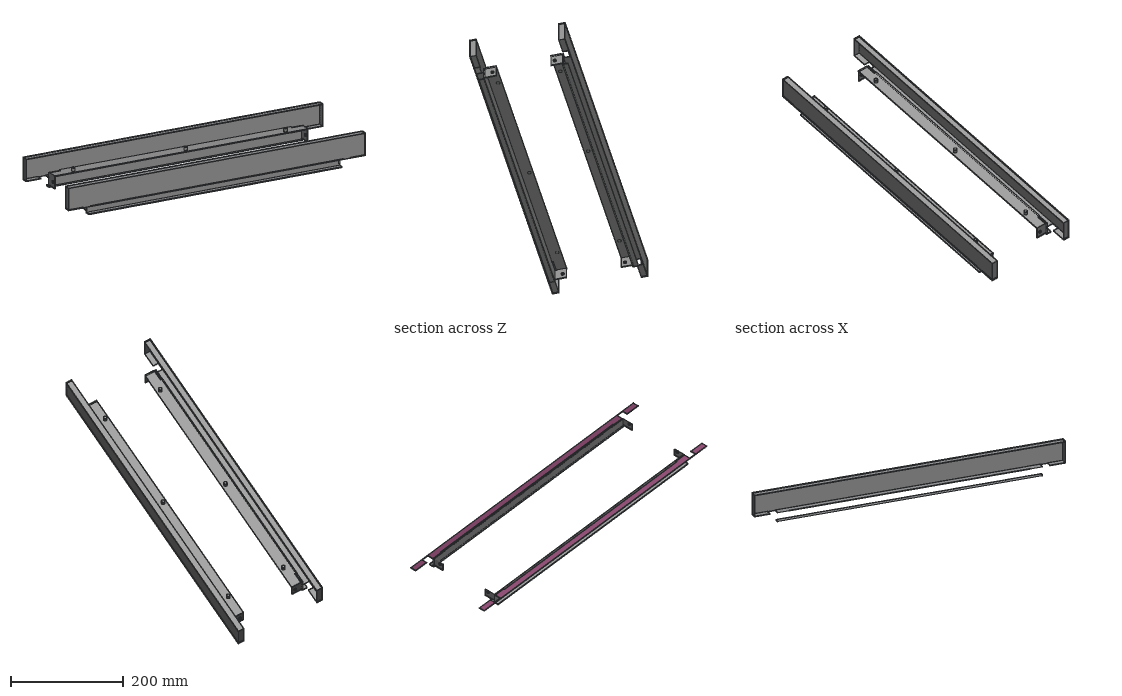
import cadquery as cq

overall_width = 175.0
overall_length = 595.0
overall_height = 60.0
x_outer = -overall_width / 2
z_top = overall_height / 2
z_bottom = -overall_height / 2
half_length = overall_length / 2

tray_sheet = 1.35
tray_depth = 12.0
tray_height = 43.0
tray_x_open = x_outer + tray_depth
tray_z_bottom = z_top - tray_height

rail_sheet = 1.9
rail_length = 507.5
rail_offset = 14.0
rail_width = 23.0
rail_z_top = -0.5
lip_reach = 8.5
rail_half = rail_length / 2
rail_x_outer = x_outer + rail_offset
rail_x_inner = rail_x_outer + rail_width

end_plate_setback = 0.3
end_plate_z_bottom = -25.5
end_hole_diameter = 5.5
end_hole_z = -15.0

recess_width = 4.0
recess_length = 22.0
recess_depth = 1.5

tab_inner_y = 230.0
tab_setback = 0.5
tab_outer_y = rail_half - tab_setback
relief_outer_y = 268.0

pin_diameter = 6.5
pin_height = 6.5
pin_chamfer = 0.7
pin_x = -57.0
pin_end_y = 212.5
pin_middle_y = 12.5


def block(x_range, y_range, z_range):
    """A box given by its lower and upper limit along each axis."""
    x_low, y_low, z_low = x_range[0], y_range[0], z_range[0]
    size_x = x_range[1] - x_low
    size_y = y_range[1] - y_low
    size_z = z_range[1] - z_low
    return cq.Workplane("XY").box(size_x, size_y, size_z, centered=False).translate((x_low, y_low, z_low))


def both_ends(y_near, y_far):
    """The same stretch of length at the -Y end and at the +Y end."""
    return [(-y_far, -y_near), (y_near, y_far)]


def make_tray():
    tray = block((x_outer, tray_x_open), (-half_length, half_length), (tray_z_bottom, z_top))
    inside_y = half_length - tray_sheet
    floor_z = (tray_z_bottom, tray_z_bottom + tray_sheet)
    inside = block(
        (x_outer + tray_sheet, tray_x_open),
        (-inside_y, inside_y),
        (floor_z[1], z_top - tray_sheet),
    )
    tray = tray.cut(inside)
    for y_range in both_ends(tab_inner_y, tab_outer_y):
        tray = tray.union(block((x_outer, rail_x_outer), y_range, floor_z))
    for y_range in both_ends(tab_outer_y, relief_outer_y):
        tray = tray.cut(block((x_outer + tray_sheet, tray_x_open), y_range, floor_z))
    return tray


def make_rail():
    full_y = (-rail_half, rail_half)
    web_x = (rail_x_outer, rail_x_outer + rail_sheet)
    web = block(web_x, full_y, (z_bottom, rail_z_top))
    top_flange = block((rail_x_outer, rail_x_inner), full_y, (rail_z_top - rail_sheet, rail_z_top))
    lip = block((rail_x_outer - lip_reach, web_x[1]), full_y, (z_bottom, z_bottom + rail_sheet))
    rail = web.union(top_flange).union(lip)

    plate_x = (rail_x_outer, rail_x_inner - end_plate_setback)
    for y_range in both_ends(rail_half - rail_sheet, rail_half):
        rail = rail.union(block(plate_x, y_range, (end_plate_z_bottom, rail_z_top)))

    recess_x = (rail_x_outer, rail_x_outer + recess_width)
    for y_range in both_ends(rail_half - recess_length, rail_half):
        rail = rail.cut(block(recess_x, y_range, (rail_z_top - recess_depth, rail_z_top)))

    end_holes = (
        cq.Workplane("XZ", origin=(pin_x, rail_half, end_hole_z))
        .circle(end_hole_diameter / 2)
        .extrude(rail_length)
    )
    return rail.cut(end_holes)


def make_pin(y):
    return (
        cq.Workplane("XY", origin=(pin_x, y, rail_z_top))
        .circle(pin_diameter / 2)
        .extrude(pin_height)
        .faces(">Z")
        .chamfer(pin_chamfer)
    )


def turned(body):
    """The body turned half a turn about the vertical centre axis."""
    return body.rotate((0, 0, 0), (0, 0, 1), 180)


tray = make_tray()
rail = make_rail()
trays = [tray, turned(tray)]
rails = [rail, turned(rail)]
pins = []
for pin_y in (-pin_end_y, pin_middle_y, pin_end_y):
    pin = make_pin(pin_y)
    pins += [pin, turned(pin)]

result = cq.Compound.makeCompound([body.val() for body in trays + rails + pins])